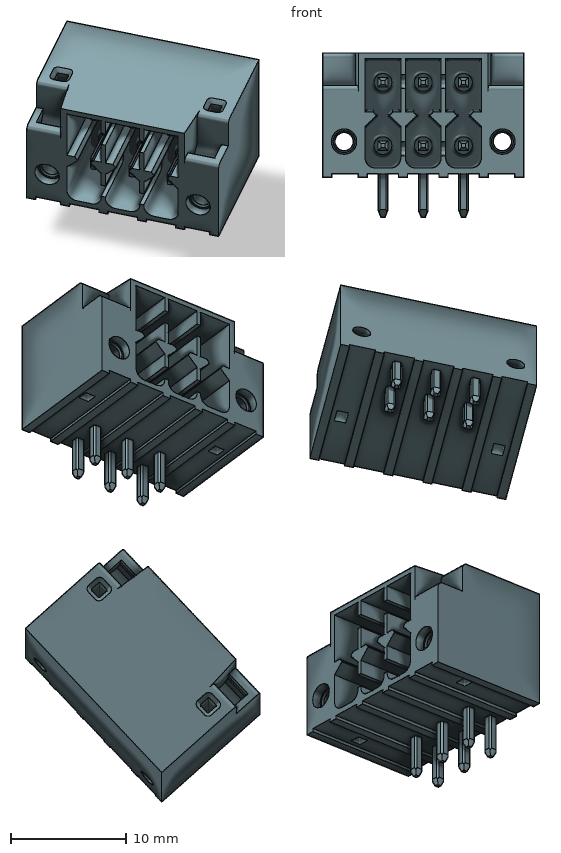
import cadquery as cq
import math


WIDTH = 17.5
DEPTH = 11.6
HEIGHT = 10.8
PITCH = 3.5
POLE_XS = [-PITCH, 0.0, PITCH]

FOOT_HEIGHT = 0.3
FOOT_WIDTH = 0.8
FOOT_XS = [-1.5 * PITCH, -0.5 * PITCH, 0.5 * PITCH, 1.5 * PITCH]

LOWER_ROW_Z = 2.75
UPPER_ROW_Z = 8.25

CHAMBER_DEPTH = 7.0
CHAMBER_FLOOR_RADIUS = 0.23
CHAMBER_HALF_WIDTH = 1.55
CHAMBER_TOP = 10.3
CHAMBER_BOTTOM = 0.8
CHAMBER_CORNER_RADIUS = 0.91
SHOULDER_Z = 5.69
SHOULDER_HALF_WIDTH = 0.88
NECK_HALF_WIDTH = 0.6
NECK_TOP = 5.39
NECK_BOTTOM = 5.32
WING_BOTTOM = 4.41

WALL_SLOT_HEIGHT = 1.25
WALL_SLOT_DEPTH = 5.25
LOWER_WALL_SLOT_Z = 2.48
UPPER_WALL_SLOT_Z = 8.31

BOSS_RADIUS = 0.77
BOSS_HEIGHT = 0.44
BOSS_FOOT_RADIUS = 0.33

STEP_DEPTH = 2.8
STEP_FLOOR = 7.98
STEP_EDGE_RADIUS = 0.5
STEP_WALL_X_FRONT = 5.64
STEP_WALL_X_BACK = 5.9
POCKET_OUTER_X = 8.12
POCKET_ARC_RADIUS = 1.42
POCKET_RAMP = 0.35
POCKET_LIP = 0.18

SQUARE_HOLE_X = 7.0
SQUARE_HOLE_Y = 4.5
SQUARE_HOLE_SIZE = 1.02
SQUARE_HOLE_CORNER = 0.07
SQUARE_HOLE_FUNNEL = 0.37
FUNNEL_ANGLE = 45.0

SCREW_X = 6.88
SCREW_Z = 3.1
SLEEVE_RADIUS = 1.1
SLEEVE_START = 0.85
SLEEVE_LENGTH = 1.6
SCREW_HOLE_RADIUS = 0.79
SLEEVE_LEAD_IN = 0.15

PIN_SIZE = 0.84
PIN_FRONT_Y = 2.5
PIN_TIP_SIZE = 0.35
PIN_TIP_LENGTH = 0.61
TAIL_CHAMFER = 0.15
LOWER_TAIL_Y = 8.0
UPPER_TAIL_Y = 10.5
LOWER_TAIL_END = -3.43
UPPER_TAIL_END = -3.5


def box(x_min, x_max, y_min, y_max, z_min, z_max):
    size = (x_max - x_min, y_max - y_min, z_max - z_min)
    return cq.Workplane("XY").box(*size, centered=False).translate((x_min, y_min, z_min))


def cylinder_along_y(x, z, radius, y_start, length):
    plane = cq.Plane(origin=(x, y_start, z), xDir=(-1, 0, 0), normal=(0, 1, 0))
    return cq.Workplane(plane).circle(radius).extrude(length)


def mirrored_pair(left):
    return [left, left.mirror("YZ")]



def housing_block():
    block = box(-WIDTH / 2, WIDTH / 2, 0, DEPTH, FOOT_HEIGHT, HEIGHT)
    for x in FOOT_XS:
        block = block.union(box(x - FOOT_WIDTH / 2, x + FOOT_WIDTH / 2, 0, DEPTH, 0, FOOT_HEIGHT))
    end_foot = box(-WIDTH / 2, -WIDTH / 2 + FOOT_WIDTH, 0, DEPTH, 0, FOOT_HEIGHT)
    for foot in mirrored_pair(end_foot):
        block = block.union(foot)
    return block


def chamber(x):
    """Hourglass-shaped chamber with straight walls and a rounded floor edge."""
    arc_mid = CHAMBER_CORNER_RADIUS * (1 - math.sqrt(0.5))
    corner_x = CHAMBER_HALF_WIDTH - CHAMBER_CORNER_RADIUS
    corner_z = CHAMBER_BOTTOM + CHAMBER_CORNER_RADIUS
    plane = cq.Plane(origin=(x, 0, 0), xDir=(-1, 0, 0), normal=(0, 1, 0))
    half = (
        cq.Workplane(plane)
        .moveTo(0, CHAMBER_TOP)
        .lineTo(CHAMBER_HALF_WIDTH, CHAMBER_TOP)
        .lineTo(CHAMBER_HALF_WIDTH, SHOULDER_Z)
        .lineTo(SHOULDER_HALF_WIDTH, SHOULDER_Z)
        .lineTo(NECK_HALF_WIDTH, NECK_TOP)
        .lineTo(NECK_HALF_WIDTH, NECK_BOTTOM)
        .lineTo(CHAMBER_HALF_WIDTH, WING_BOTTOM)
        .lineTo(CHAMBER_HALF_WIDTH, corner_z)
        .threePointArc(
            (CHAMBER_HALF_WIDTH - arc_mid, CHAMBER_BOTTOM + arc_mid), (corner_x, CHAMBER_BOTTOM)
        )
        .lineTo(0, CHAMBER_BOTTOM)
        .close()
        .extrude(CHAMBER_DEPTH)
    )
    whole = half.union(half.mirror("YZ", (x, 0, 0))).clean()
    return whole.faces(">Y").edges().fillet(CHAMBER_FLOOR_RADIUS)


def wall_slot(z):
    """Slot from the front face through both walls between the chambers."""
    radius = WALL_SLOT_HEIGHT / 2
    straight = WALL_SLOT_DEPTH - radius
    return (
        cq.Workplane("YZ", origin=(-PITCH, 0, 0))
        .moveTo(0, z - radius)
        .lineTo(straight, z - radius)
        .threePointArc((WALL_SLOT_DEPTH, z), (straight, z + radius))
        .lineTo(0, z + radius)
        .close()
        .extrude(2 * PITCH)
    )


def boss(x, z):
    """Boss turned about the contact axis, its side flaring into the chamber floor."""
    foot_radius = BOSS_RADIUS + BOSS_FOOT_RADIUS
    foot_mid = BOSS_FOOT_RADIUS * (1 - math.sqrt(0.5))
    return (
        cq.Workplane("XY")
        .lineTo(foot_radius, 0)
        .threePointArc((BOSS_RADIUS + foot_mid, -foot_mid), (BOSS_RADIUS, -BOSS_FOOT_RADIUS))
        .lineTo(BOSS_RADIUS, -BOSS_HEIGHT)
        .lineTo(0, -BOSS_HEIGHT)
        .close()
        .revolve(360, (0, 0), (0, 1))
        .translate((x, CHAMBER_DEPTH, z))
    )


def left_corner_step():
    """Space of the left corner step and its latch pocket, closed by a slanted inner wall."""
    edge_mid = STEP_EDGE_RADIUS * (1 - math.sqrt(0.5))
    step = (
        cq.Workplane("YZ", origin=(-WIDTH / 2, 0, 0))
        .moveTo(0, STEP_FLOOR - STEP_EDGE_RADIUS)
        .threePointArc((edge_mid, STEP_FLOOR - edge_mid), (STEP_EDGE_RADIUS, STEP_FLOOR))
        .lineTo(STEP_DEPTH, STEP_FLOOR)
        .lineTo(STEP_DEPTH, HEIGHT - STEP_EDGE_RADIUS)
        .threePointArc(
            (STEP_DEPTH + edge_mid, HEIGHT - edge_mid), (STEP_DEPTH + STEP_EDGE_RADIUS, HEIGHT)
        )
        .lineTo(0, HEIGHT)
        .close()
        .extrude(WIDTH / 2)
    )

    arc_end_y = STEP_DEPTH - POCKET_ARC_RADIUS
    arc_mid = POCKET_ARC_RADIUS * math.sqrt(0.5)
    pocket_floor = STEP_FLOOR - POCKET_ARC_RADIUS
    front_wall_y = arc_end_y - POCKET_RAMP
    pocket = (
        cq.Workplane("YZ", origin=(-POCKET_OUTER_X, 0, 0))
        .moveTo(STEP_DEPTH, STEP_FLOOR)
        .threePointArc((arc_end_y + arc_mid, STEP_FLOOR - arc_mid), (arc_end_y, pocket_floor))
        .lineTo(front_wall_y, pocket_floor + POCKET_RAMP)
        .lineTo(front_wall_y, STEP_FLOOR - POCKET_LIP)
        .lineTo(front_wall_y - POCKET_LIP, STEP_FLOOR)
        .close()
        .extrude(POCKET_OUTER_X)
    )

    wall_slant = (STEP_WALL_X_BACK - STEP_WALL_X_FRONT) / STEP_DEPTH
    plan = (
        cq.Workplane("XY")
        .moveTo(-WIDTH / 2, 0)
        .lineTo(-STEP_WALL_X_FRONT, 0)
        .lineTo(-STEP_WALL_X_FRONT - wall_slant * DEPTH, DEPTH)
        .lineTo(-WIDTH / 2, DEPTH)
        .close()
        .extrude(HEIGHT)
    )
    return step.union(pocket).intersect(plan)


def left_square_hole():
    """Square through hole that widens like a funnel at the top."""
    half = SQUARE_HOLE_SIZE / 2
    mouth = half + SQUARE_HOLE_FUNNEL
    x, y = -SQUARE_HOLE_X, SQUARE_HOLE_Y
    hole = box(x - half, x + half, y - half, y + half, 0, HEIGHT)
    hole = hole.edges("|Z").fillet(SQUARE_HOLE_CORNER)
    funnel = (
        cq.Workplane("XY", origin=(x, y, HEIGHT))
        .sketch()
        .rect(2 * mouth, 2 * mouth)
        .vertices()
        .fillet(SQUARE_HOLE_CORNER + SQUARE_HOLE_FUNNEL)
        .finalize()
        .extrude(-SQUARE_HOLE_FUNNEL, taper=FUNNEL_ANGLE)
    )
    return hole.union(funnel)


def left_screw_hole():
    sleeve_end = SLEEVE_START + SLEEVE_LENGTH
    seat = cylinder_along_y(-SCREW_X, SCREW_Z, SLEEVE_RADIUS, 0, sleeve_end)
    return seat.union(cylinder_along_y(-SCREW_X, SCREW_Z, SCREW_HOLE_RADIUS, 0, DEPTH))


def make_housing(pins):
    body = housing_block()
    for x in POLE_XS:
        body = body.cut(chamber(x))
    for z in (LOWER_WALL_SLOT_Z, UPPER_WALL_SLOT_Z):
        body = body.cut(wall_slot(z))
    for x in POLE_XS:
        for z in (LOWER_ROW_Z, UPPER_ROW_Z):
            body = body.union(boss(x, z))
    for left_cut in (left_corner_step(), left_square_hole(), left_screw_hole()):
        for cut in mirrored_pair(left_cut):
            body = body.cut(cut)
    for pin in pins:
        body = body.cut(pin)
    return body



def left_sleeve():
    """Sleeve with a plain bore and a bevelled lead-in at its front end."""
    blank = cylinder_along_y(-SCREW_X, SCREW_Z, SLEEVE_RADIUS, SLEEVE_START, SLEEVE_LENGTH)
    bore = cylinder_along_y(-SCREW_X, SCREW_Z, SCREW_HOLE_RADIUS, SLEEVE_START, SLEEVE_LENGTH)
    bore_rim = cq.selectors.RadiusNthSelector(0)
    return blank.cut(bore).faces("<Y").edges(bore_rim).chamfer(SLEEVE_LEAD_IN)



def pin_tip(plane):
    """Blunt pyramid growing from the origin of the plane along its normal."""
    tip_taper = math.degrees(math.atan2((PIN_SIZE - PIN_TIP_SIZE) / 2, PIN_TIP_LENGTH))
    return cq.Workplane(plane).rect(PIN_SIZE, PIN_SIZE).extrude(PIN_TIP_LENGTH, taper=tip_taper)


def make_pin(x, z, tail_y, tail_end):
    """Square pin that runs back from the chamber and turns down into a bevelled solder tail."""
    half = PIN_SIZE / 2
    shank_start = PIN_FRONT_Y + PIN_TIP_LENGTH
    shank = box(x - half, x + half, shank_start, tail_y + half, z - half, z + half)
    front_tip = pin_tip(cq.Plane(origin=(x, shank_start, z), xDir=(1, 0, 0), normal=(0, -1, 0)))

    tail_bar = (
        box(x - half, x + half, tail_y - half, tail_y + half, tail_end, z)
        .edges("|Z")
        .chamfer(TAIL_CHAMFER)
    )
    tip_start = tail_end + PIN_TIP_LENGTH
    tail_tip = pin_tip(cq.Plane(origin=(x, tail_y, tip_start), xDir=(1, 0, 0), normal=(0, 0, -1)))
    straight = box(x - half, x + half, tail_y - half, tail_y + half, tip_start, z)
    tail = tail_bar.intersect(straight.union(tail_tip))
    return shank.union(front_tip).union(tail)


pins = []
for pole_x in POLE_XS:
    pins.append(make_pin(pole_x, LOWER_ROW_Z, LOWER_TAIL_Y, LOWER_TAIL_END))
    pins.append(make_pin(pole_x, UPPER_ROW_Z, UPPER_TAIL_Y, UPPER_TAIL_END))

sleeves = mirrored_pair(left_sleeve())
housing = make_housing(pins)

result = cq.Compound.makeCompound([
    housing.val(),
    *[sleeve.val() for sleeve in sleeves],
    *[pin.val() for pin in pins],
])